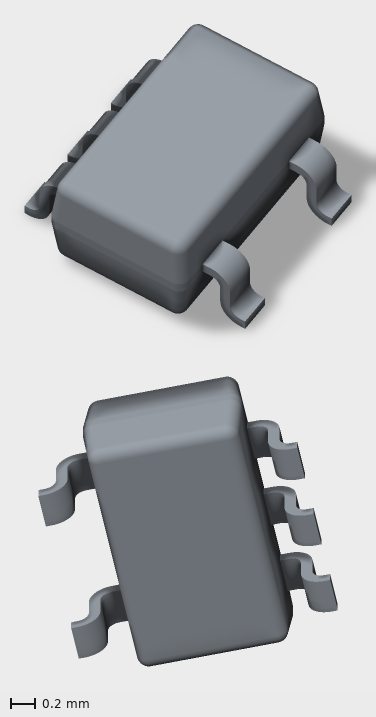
import cadquery as cq
import math


lead_span = 2.2
body_length = 2.2
body_width = 1.35
total_height = 1.0
standoff = 0.05

lead_thickness = 0.1
lead_width = 0.3
lead_pitch = 0.65
toe_length = 0.05
bend_inner_radius = 0.1
bend_outer_radius = bend_inner_radius + lead_thickness

taper_angle = 6.0
body_edge_radius = 0.1
band_height = lead_thickness
band_center_z = (standoff + total_height) / 2
band_bottom_z = band_center_z - band_height / 2
band_top_z = band_center_z + band_height / 2
taper_inset = (total_height - band_top_z) * math.tan(math.radians(taper_angle))

lead_rows = [
    (-1, (-1, 0, 1)),
    (1, (-1, 1)),
]


def make_tapered_prism(plane, half_width, depth):
    """Prism whose section has a straight band and sides that taper to both ends."""
    end_half_width = half_width - taper_inset
    return (
        cq.Workplane(plane)
        .polyline([
            (-end_half_width, standoff),
            (end_half_width, standoff),
            (half_width, band_bottom_z),
            (half_width, band_top_z),
            (end_half_width, total_height),
            (-end_half_width, total_height),
            (-half_width, band_top_z),
            (-half_width, band_bottom_z),
        ])
        .close()
        .extrude(depth / 2, both=True)
    )


def make_body():
    """Block tapered on all four sides away from the band, with every edge rounded."""
    across = make_tapered_prism("XZ", body_width / 2, body_length)
    along = make_tapered_prism("YZ", body_length / 2, body_width)
    return across.intersect(along).edges().fillet(body_edge_radius)


def make_lead():
    """Gull-wing lead on the -X side, centered on Y = 0 and ending at the body."""
    toe_x = -lead_span / 2
    body_x = -body_width / 2
    foot_bend_x = toe_x + toe_length
    outer_wall_x = foot_bend_x + bend_inner_radius
    inner_wall_x = foot_bend_x + bend_outer_radius
    shoulder_bend_x = outer_wall_x + bend_outer_radius
    foot_bend_z = bend_outer_radius
    shoulder_bend_z = band_top_z - bend_outer_radius

    return (
        cq.Workplane("XZ")
        .moveTo(toe_x, 0)
        .lineTo(foot_bend_x, 0)
        .radiusArc((inner_wall_x, foot_bend_z), -bend_outer_radius)
        .lineTo(inner_wall_x, shoulder_bend_z)
        .radiusArc((shoulder_bend_x, band_bottom_z), bend_inner_radius)
        .lineTo(body_x, band_bottom_z)
        .lineTo(body_x, band_top_z)
        .lineTo(shoulder_bend_x, band_top_z)
        .radiusArc((outer_wall_x, shoulder_bend_z), -bend_outer_radius)
        .lineTo(outer_wall_x, foot_bend_z)
        .radiusArc((foot_bend_x, lead_thickness), bend_inner_radius)
        .lineTo(toe_x, lead_thickness)
        .close()
        .extrude(lead_width / 2, both=True)
    )


def make_leads():
    """One separate lead at every position of both rows."""
    left_lead = make_lead()
    right_lead = left_lead.mirror("YZ")
    leads = []
    for side, positions in lead_rows:
        lead = left_lead if side < 0 else right_lead
        for position in positions:
            leads.append(lead.translate((0, position * lead_pitch, 0)))
    return leads


body = make_body()
leads = make_leads()

result = cq.Compound.makeCompound([body.val(), *[lead.val() for lead in leads]])